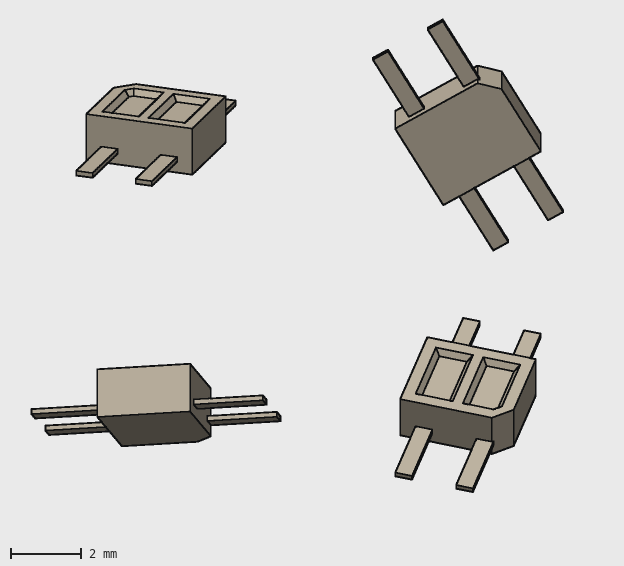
import cadquery as cq

body_width = 3.2
body_length = 2.69
body_height = 1.4
corner_chamfer = 0.495

overall_length = 6.7
lead_width = 0.495
lead_thickness = 0.15
lead_pitch = 1.795
lead_center_height = 0.4
lead_embed = 0.135
lead_length = (overall_length - body_length) / 2 + lead_embed

pocket_width = 1.09
pocket_length = 1.995
pocket_gap = 0.3
pocket_inset = 0.14
pocket_depth = 0.175
pocket_chamfer = 0.2
pocket_floor_chamfer = 0.11
pocket_pitch = pocket_width + pocket_gap


def rectangle_points(center_x, width, length, chamfer=0):
    """Corners of a rectangle centred on Y, with its -X +Y corner cut if asked."""
    left = center_x - width / 2
    right = center_x + width / 2
    back = length / 2
    points = [(left, -back), (right, -back), (right, back)]
    if chamfer:
        points += [(left + chamfer, back), (left, back - chamfer)]
    else:
        points.append((left, back))
    return points


def make_body():
    outline = rectangle_points(0, body_width, body_length, corner_chamfer)
    return cq.Workplane("XY").polyline(outline).close().extrude(body_height)


def make_lead(center_x, side):
    return cq.Workplane("XY").box(lead_width, lead_length, lead_thickness).translate(
        (center_x, side * (overall_length - lead_length) / 2, lead_center_height)
    )


def make_pocket(center_x, top_chamfer=0, floor_chamfer=0):
    """Solid to remove: lofted from the floor outline up to the wider opening."""
    floor_width = pocket_width - 2 * pocket_inset
    floor_length = pocket_length - 2 * pocket_inset
    floor = rectangle_points(center_x, floor_width, floor_length, floor_chamfer)
    opening = rectangle_points(center_x, pocket_width, pocket_length, top_chamfer)
    return (
        cq.Workplane("XY", origin=(0, 0, body_height - pocket_depth))
        .polyline(floor)
        .close()
        .workplane(offset=pocket_depth)
        .polyline(opening)
        .close()
        .loft(ruled=True)
    )


result = make_body()
for lead_x in (-lead_pitch / 2, lead_pitch / 2):
    for end_side in (-1, 1):
        result = result.union(make_lead(lead_x, end_side))

result = result.cut(make_pocket(-pocket_pitch / 2, pocket_chamfer, pocket_floor_chamfer))
result = result.cut(make_pocket(pocket_pitch / 2))